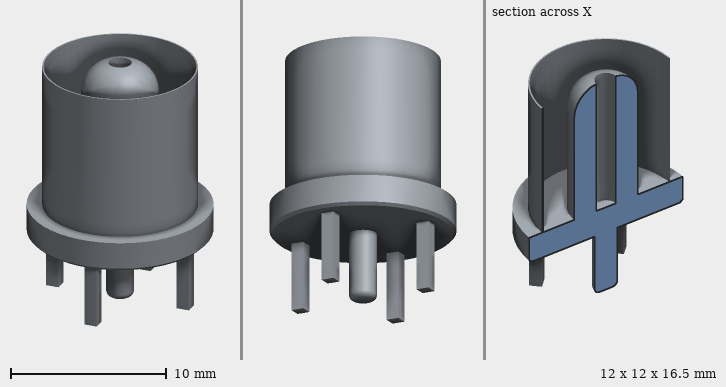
import cadquery as cq
import math

total_height = 16.48

pin_length = 4.5
pin_diameter = 1.8
pin_tip_radius = 0.4

leg_side = 0.85
leg_offset = 3.2

flange_diameter = 12.0
flange_thickness = 2.0
flange_chamfer = 0.2

shell_outer_diameter = 10.0
shell_inner_diameter = 9.8
shell_height = 9.7

contact_diameter = 5.0
contact_edge_radius = 2.0
contact_bore_diameter = 1.5

flange_bottom = pin_length
flange_top = flange_bottom + flange_thickness

crown_flat_radius = contact_diameter / 2 - contact_edge_radius
rim_reach = contact_bore_diameter / 2 - crown_flat_radius
rim_drop = contact_edge_radius - math.sqrt(contact_edge_radius**2 - rim_reach**2)
contact_height = total_height + rim_drop - flange_top


def cylinder(diameter, bottom, height):
    return cq.Workplane("XY").workplane(offset=bottom).circle(diameter / 2).extrude(height)


def make_flange():
    disc = cylinder(flange_diameter, flange_bottom, flange_thickness)
    return disc.faces("<Z").chamfer(flange_chamfer)


def make_shell():
    """Thin tube standing on the flange, open at the top."""
    outside = cylinder(shell_outer_diameter, flange_top, shell_height)
    return outside.cut(cylinder(shell_inner_diameter, flange_top, shell_height))


def make_contact():
    """Round-topped central socket, bored down to the flange."""
    post = cylinder(contact_diameter, flange_top, contact_height)
    post = post.faces(">Z").edges().fillet(contact_edge_radius)
    return post.cut(cylinder(contact_bore_diameter, flange_top, contact_height))


def make_pin():
    return cylinder(pin_diameter, 0, pin_length).faces("<Z").edges().fillet(pin_tip_radius)


def make_leg(x, y):
    """Square leg with its sides turned 45 degrees to X and Y."""
    leg = cq.Workplane("XY").rect(leg_side, leg_side).extrude(pin_length)
    return leg.rotate((0, 0, 0), (0, 0, 1), 45).translate((x, y, 0))


result = make_flange().union(make_shell()).union(make_contact()).union(make_pin())
for x_side in (-1, 1):
    for y_side in (-1, 1):
        result = result.union(make_leg(x_side * leg_offset, y_side * leg_offset))